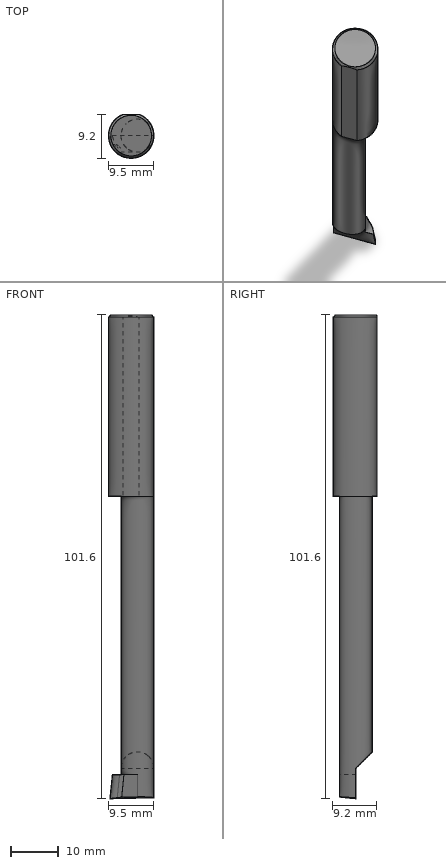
import cadquery as cq
import math

total_length = 101.6
shank_diameter = 9.5
shank_length = 38.1
shank_flat_depth = 0.3
end_chamfer = 0.5

neck_diameter = 6.9
rake_face_height = 6.4
runout_angle = 45.0

head_height = 5.1
side_relief_shift = 0.5
front_relief_rise = 0.3
end_slope_rise = 0.2

tip_x = -4.5
heel_x = -2.9
heel_y = -2.4
back_x = -2.0
flank_middle_x = -4.0
flank_middle_y = -1.3

shank_radius = shank_diameter / 2
neck_radius = neck_diameter / 2
neck_x = shank_radius - neck_radius
shoulder_z = total_length - shank_length


def make_shank():
    """Chamfered round shank with a shallow flat along its +Y side."""
    shank = cq.Workplane("XY").workplane(offset=shoulder_z).circle(shank_radius).extrude(shank_length)
    shank = shank.faces(">Z").chamfer(end_chamfer)
    flat_cutter = (
        cq.Workplane("XY")
        .box(shank_diameter, shank_diameter, shank_length, centered=(True, False, False))
        .translate((0, shank_radius - shank_flat_depth, shoulder_z))
    )
    return shank.cut(flat_cutter)


def make_neck():
    """Offset neck, tangent to the shank on +X and cut to half thickness at its end."""
    neck = cq.Workplane("XY").center(neck_x, 0).circle(neck_radius).extrude(shoulder_z)
    runout_height = neck_diameter * math.tan(math.radians(runout_angle))
    rake_cutter = (
        cq.Workplane("YZ")
        .polyline([
            (0, 0),
            (neck_diameter, 0),
            (neck_diameter, rake_face_height + runout_height),
            (0, rake_face_height),
        ])
        .close()
        .extrude(shank_diameter, both=True)
    )
    return neck.cut(rake_cutter)


def add_head_outline(plane, shift):
    """Draw the head section with its cutting side moved toward +X by the side relief."""
    return (
        plane.moveTo(neck_x, 0)
        .lineTo(tip_x + shift, 0)
        .threePointArc((flank_middle_x + shift, flank_middle_y), (heel_x + shift, heel_y))
        .lineTo(back_x + shift, -neck_radius)
        .lineTo(neck_x, -neck_radius)
        .close()
    )


def make_head():
    """Side cutting head with a curved flank, narrowing upward from the tip."""
    bottom = add_head_outline(cq.Workplane("XY"), 0)
    both_ends = add_head_outline(bottom.workplane(offset=head_height, origin=(0, 0, 0)), side_relief_shift)
    return both_ends.loft(ruled=True)


def make_end_relief_cutter():
    """Block whose sloping top rises from the tip toward +X and toward -Y."""
    end_angle = math.degrees(math.atan2(end_slope_rise, shank_radius - tip_x))
    front_angle = math.degrees(math.atan2(front_relief_rise, neck_radius))
    size = 4 * shank_diameter
    return (
        cq.Workplane("XY")
        .box(size, size, size, centered=(True, True, False))
        .translate((0, 0, -size))
        .rotate((0, 0, 0), (1, 0, 0), -front_angle)
        .rotate((0, 0, 0), (0, 1, 0), -end_angle)
        .translate((tip_x, 0, 0))
    )


bar = make_shank().union(make_neck()).union(make_head())
result = bar.cut(make_end_relief_cutter())